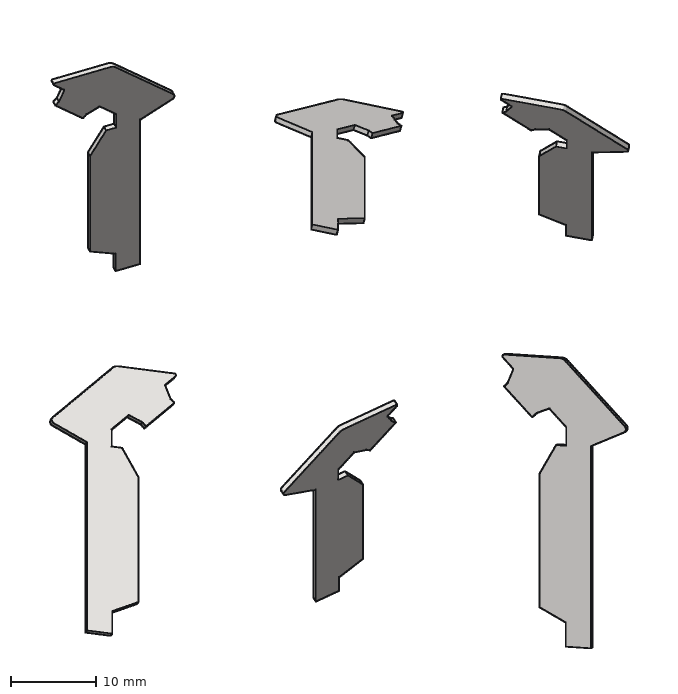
import cadquery as cq
import math

thickness = 0.7
height = 34.4

foot_width = 3.1
foot_height = 2.9
stem_width = 6.32
stem_bottom_z = 4.5
ledge_z = 24.0
ledge_end = 4.29
ledge_slope_angle = 60.0
neck_width = 3.02

head_width = 5.52
top_corner = 3.39
nose_underside_z = 24.12
nose_angle = 24.9
nose_radius = 0.5
top_radius = 1.0
lip_radius = 0.2

jaw_center_height = 37.87
jaw_root_width = 6.3
jaw_taper_angle = 22.5
jaw_taper_depth = 1.67
jaw_depth = 2.33

back_line = height - top_corner
inner_line = back_line - head_width * math.sqrt(2)


def jaw_point(along, outward):
    """Profile point at a distance along the jaw root and outward from it."""
    root_forward = (jaw_center_height - inner_line) / 2
    root_z = (jaw_center_height + inner_line) / 2
    forward = root_forward + (along + outward) / math.sqrt(2)
    z = root_z + (along - outward) / math.sqrt(2)
    return (forward, z)


def jaw_outline():
    """Jaw corners from the lower root to the upper root."""
    half_root = jaw_root_width / 2
    taper = jaw_taper_depth * math.tan(math.radians(jaw_taper_angle))
    half_tip = half_root - taper
    return [
        jaw_point(-half_root, 0),
        jaw_point(-half_tip, jaw_taper_depth),
        jaw_point(-half_tip, jaw_depth),
        jaw_point(half_tip, jaw_depth),
        jaw_point(half_tip, jaw_taper_depth),
        jaw_point(half_root, 0),
    ]


def stem_outline():
    """Stem corners from the foot up the front side to the neck."""
    ledge_drop = (stem_width - ledge_end) * math.tan(math.radians(ledge_slope_angle))
    return [
        (0, 0),
        (foot_width, 0),
        (foot_width, foot_height),
        (stem_width, stem_bottom_z),
        (stem_width, ledge_z - ledge_drop),
        (ledge_end, ledge_z),
        (neck_width, ledge_z),
        (neck_width, neck_width + inner_line),
    ]


nose_length = (back_line - nose_underside_z) / (1 + math.tan(math.radians(nose_angle)))
nose_corner = (-nose_length, back_line - nose_length)
top_corner_point = (top_corner, height)

lip_corner = (height - inner_line, height)


def head_outline():
    """Head corners from the upper lip around the back to the stem."""
    return [
        lip_corner,
        top_corner_point,
        nose_corner,
        (0, nose_underside_z),
    ]


def round_corner(plate, corner, radius):
    """Round the through-thickness edge at a (forward, Z) corner."""
    forward, z = corner
    edge = cq.selectors.NearestToPointSelector((0, -forward, z))
    return plate.edges("|X").edges(edge).fillet(radius)


outline = stem_outline() + jaw_outline() + head_outline()
plate = (
    cq.Workplane("YZ")
    .polyline([(-forward, z) for forward, z in outline])
    .close()
    .extrude(thickness / 2, both=True)
)
plate = round_corner(plate, top_corner_point, top_radius)
plate = round_corner(plate, lip_corner, lip_radius)
result = round_corner(plate, nose_corner, nose_radius)